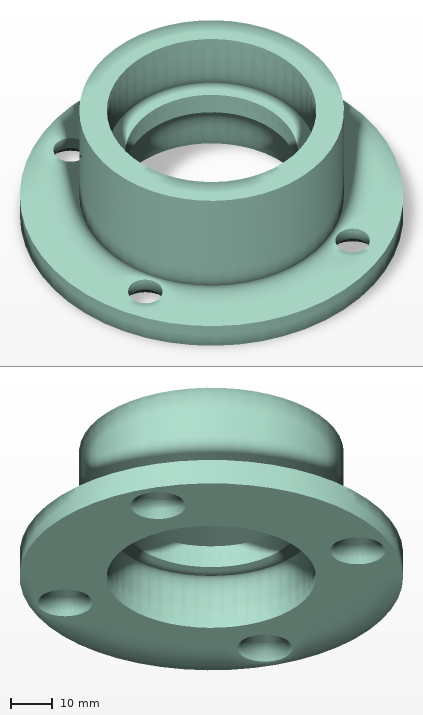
import cadquery as cq

flange_diameter = 92.1
flange_thickness = 6.4
hub_diameter = 63.5
total_height = 34.25

bore_diameter = 41.6
seat_diameter = 50.3
seat_depth = 14.3

bolt_hole_diameter = 8.3
bolt_circle_radius = 37.4
bolt_hole_count = 4

countersink_diameter = 13.3
countersink_depth = 3.2


def cylinder(diameter, height, base_z=0):
    """Upright cylinder on the part axis, starting at base_z."""
    return cq.Workplane("XY").workplane(offset=base_z).circle(diameter / 2).extrude(height)


body = cylinder(flange_diameter, flange_thickness).union(cylinder(hub_diameter, total_height))

body = body.cut(cylinder(bore_diameter, total_height))
for seat_base in (0, total_height - seat_depth):
    body = body.cut(cylinder(seat_diameter, seat_depth, seat_base))



def bolt_hole_cutter():
    """Straight hole through the flange, flaring into a countersink at the bottom."""
    straight_hole = cylinder(bolt_hole_diameter, flange_thickness)
    countersink = cq.Workplane(
        cq.Solid.makeCone(countersink_diameter / 2, bolt_hole_diameter / 2, countersink_depth)
    )
    return straight_hole.union(countersink).translate((bolt_circle_radius, 0, 0))


for index in range(bolt_hole_count):
    angle = index * 360 / bolt_hole_count
    body = body.cut(bolt_hole_cutter().rotate((0, 0, 0), (0, 0, 1), angle))

result = body